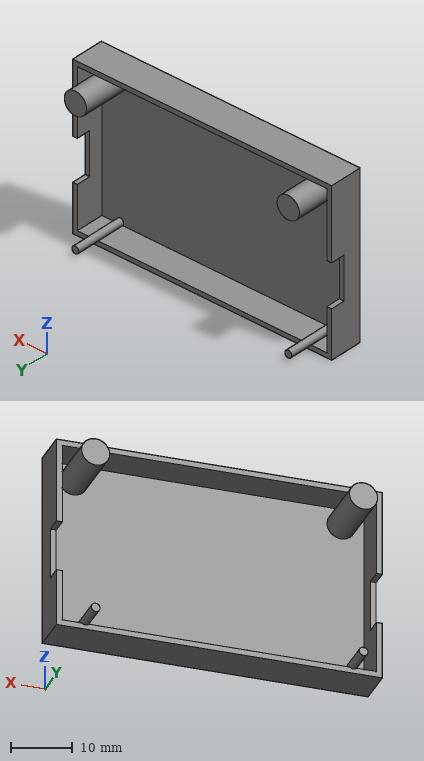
import cadquery as cq

length = 56.0
height = 34.0
cover_depth = 7.0
wall = 1.0
peg_projection = 5.0
overlap = 0.5 * wall

notch_depth = 3.0
notch_bottom = 10.0
notch_height = 8.95

post_inset = 5.0
peg_diameter = 4.8
peg_z = height - 4.0
pin_diameter = 1.5
pin_z = 1.5


def box(size, corner):
    """Axis-aligned box given by its size and its minimum corner."""
    return cq.Workplane("XY").box(*size, centered=False).translate(corner)


def post(x, z, diameter):
    """Cylinder along +Y from inside the front panel to beyond the rim."""
    start = wall - overlap
    post_length = cover_depth + peg_projection - start
    axis_start = cq.Vector(x, start, z)
    return cq.Solid.makeCylinder(diameter / 2, post_length, axis_start, cq.Vector(0, 1, 0))


cover = box((length, cover_depth, height), (0, 0, 0))
cavity = box(
    (length - 2 * wall, cover_depth - wall, height - 2 * wall),
    (wall, wall, wall),
)
notch = box(
    (length, notch_depth, notch_height),
    (0, cover_depth - notch_depth, notch_bottom),
)
result = cover.cut(cavity).cut(notch)

for post_x in (post_inset, length - post_inset):
    result = result.union(post(post_x, peg_z, peg_diameter))
    result = result.union(post(post_x, pin_z, pin_diameter))